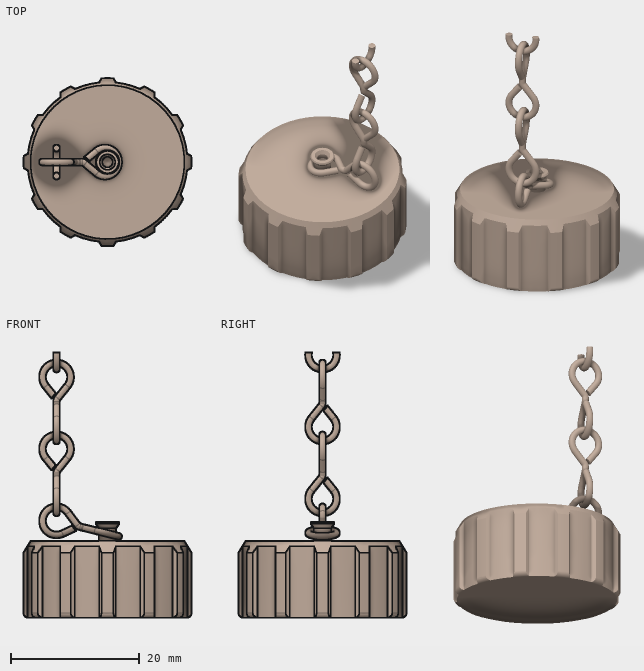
import cadquery as cq
import math

OVERLAP = 0.4

CAP_RADIUS = 13.1
CAP_HEIGHT = 11.98
VALLEY_RADIUS = 12.47
TOP_BEVEL_WIDTH = 1.1
TOP_BEVEL_HEIGHT = 1.85
BOTTOM_ROUND = 0.75
RIB_COUNT = 12
RIB_TIP_HALF_WIDTH = 0.9
RIB_ROOT_HALF_WIDTH = 1.3

RIVET_TOP = 14.95
POST_RADIUS = 1.35
HEAD_RADIUS = 1.85
HEAD_TOP_RADIUS = 1.75
HEAD_TOP_TAPER = 0.2
HEAD_RIM = 0.12
HEAD_FLARE = 0.65
RIVET_MOUTH_RADIUS = 1.2
RIVET_BORE_RADIUS = 0.83
RIVET_MOUTH_DEPTH = 0.55
RIVET_BORE_LENGTH = 0.83
RIVET_TIP_LENGTH = 0.5

WIRE_RADIUS = 0.55
EYE_RADIUS = 2.2
EYE_OFFSET = 3.9
NECK_HALF_LENGTH = 0.145
NECK_BEND_RADIUS = 0.75
TAIL_GAP = 0.15
EYE_OVERLAP = 3.43
CHAIN_X = -7.95
CHAIN_TOP = 41.3
BASE_EYE_Z = 15.07
BASE_LINK_SLOPE = 14.0
HANGING_LINKS = 3

LINK_PITCH = 2 * EYE_OFFSET + EYE_OVERLAP


def make_cap():
    """Ribbed disc trimmed by a turned envelope with a bevel and a round."""
    ribbed = cq.Workplane("XY").circle(VALLEY_RADIUS).extrude(CAP_HEIGHT)
    rib_root = VALLEY_RADIUS - OVERLAP
    rib = (
        cq.Workplane("XY")
        .moveTo(rib_root, -RIB_ROOT_HALF_WIDTH)
        .lineTo(VALLEY_RADIUS, -RIB_ROOT_HALF_WIDTH)
        .lineTo(CAP_RADIUS, -RIB_TIP_HALF_WIDTH)
        .lineTo(CAP_RADIUS, RIB_TIP_HALF_WIDTH)
        .lineTo(VALLEY_RADIUS, RIB_ROOT_HALF_WIDTH)
        .lineTo(rib_root, RIB_ROOT_HALF_WIDTH)
        .close()
        .extrude(CAP_HEIGHT)
    )
    for index in range(RIB_COUNT):
        ribbed = ribbed.union(rib.rotate((0, 0, 0), (0, 0, 1), index * 360 / RIB_COUNT))
    envelope = (
        cq.Workplane("XZ")
        .lineTo(CAP_RADIUS - BOTTOM_ROUND, 0)
        .radiusArc((CAP_RADIUS, BOTTOM_ROUND), -BOTTOM_ROUND)
        .lineTo(CAP_RADIUS, CAP_HEIGHT - TOP_BEVEL_HEIGHT)
        .lineTo(CAP_RADIUS - TOP_BEVEL_WIDTH, CAP_HEIGHT)
        .lineTo(0, CAP_HEIGHT)
        .close()
        .revolve(360, (0, 0), (0, 1))
    )
    return ribbed.intersect(envelope)


def make_rivet():
    """Turned post with a flared head and a blind hole: tapered mouth, bore and conical bottom."""
    rim_top = RIVET_TOP - HEAD_TOP_TAPER
    rim_bottom = rim_top - HEAD_RIM
    bore_top = RIVET_TOP - RIVET_MOUTH_DEPTH
    bore_bottom = bore_top - RIVET_BORE_LENGTH
    post_foot = CAP_HEIGHT - OVERLAP
    return (
        cq.Workplane("XZ")
        .moveTo(0, post_foot)
        .lineTo(POST_RADIUS, post_foot)
        .lineTo(POST_RADIUS, rim_bottom - HEAD_FLARE)
        .lineTo(HEAD_RADIUS, rim_bottom)
        .lineTo(HEAD_RADIUS, rim_top)
        .lineTo(HEAD_TOP_RADIUS, RIVET_TOP)
        .lineTo(RIVET_MOUTH_RADIUS, RIVET_TOP)
        .lineTo(RIVET_BORE_RADIUS, bore_top)
        .lineTo(RIVET_BORE_RADIUS, bore_bottom)
        .lineTo(0, bore_bottom - RIVET_TIP_LENGTH)
        .close()
        .revolve(360, (0, 0), (0, 1))
    )


def make_half_link():
    """Half a link in the XZ plane: from the top of the neck, with the leg on +X."""
    rise = EYE_OFFSET - NECK_HALF_LENGTH
    centre_distance = math.hypot(NECK_BEND_RADIUS, rise)
    tangent_angle = math.asin((EYE_RADIUS + NECK_BEND_RADIUS) / centre_distance)
    lean = tangent_angle - math.atan2(NECK_BEND_RADIUS, rise)
    bend_end = (
        NECK_BEND_RADIUS * (1 - math.cos(lean)),
        NECK_HALF_LENGTH + NECK_BEND_RADIUS * math.sin(lean),
    )
    eye_x = EYE_RADIUS * math.cos(lean)
    eye_z = EYE_OFFSET - EYE_RADIUS * math.sin(lean)

    path = (
        cq.Workplane("XZ")
        .moveTo(0, NECK_HALF_LENGTH)
        .radiusArc(bend_end, NECK_BEND_RADIUS)
        .lineTo(eye_x, eye_z)
        .threePointArc((0, EYE_OFFSET + EYE_RADIUS), (-eye_x, eye_z))
    )
    wire = cq.Workplane("XY").workplane(offset=NECK_HALF_LENGTH).circle(WIRE_RADIUS).sweep(path)

    tail_length = math.hypot(eye_x, eye_z)
    tail_direction = cq.Vector(math.sin(lean), 0, -math.cos(lean))
    tail_start = cq.Vector(-eye_x, 0, eye_z)
    tail = cq.Workplane(cq.Solid.makeCylinder(WIRE_RADIUS, tail_length, tail_start, tail_direction))
    block_size = 4 * EYE_OFFSET
    clearance = (
        cq.Workplane("XY")
        .box(block_size, block_size, block_size)
        .translate((block_size / 2 - WIRE_RADIUS - TAIL_GAP, 0, 0))
        .rotate((0, 0, 0), (0, 1, 0), math.degrees(lean))
        .translate((bend_end[0], 0, bend_end[1]))
    )
    return wire.union(tail.cut(clearance))


def make_link():
    """Upright link with its neck at the origin; the lower eye is turned a quarter."""
    upper = make_half_link()
    lower = upper.rotate((0, 0, 0), (1, 0, 0), 180).rotate((0, 0, 0), (0, 0, 1), -90)
    neck = cq.Workplane("XY").circle(WIRE_RADIUS).extrude(NECK_HALF_LENGTH, both=True)
    return neck.union(upper).union(lower)


def make_chain():
    """Sloping link around the rivet and the links hanging straight above it."""
    link = make_link()
    slope = math.radians(BASE_LINK_SLOPE)
    base_neck_x = CHAIN_X + EYE_OFFSET * math.cos(slope)
    base_neck_z = BASE_EYE_Z - EYE_OFFSET * math.sin(slope)
    chain = (
        link.rotate((0, 0, 0), (0, 1, 0), BASE_LINK_SLOPE - 90)
        .translate((base_neck_x, 0, base_neck_z))
    )
    first_neck_z = BASE_EYE_Z + EYE_OVERLAP + EYE_OFFSET
    for index in range(HANGING_LINKS):
        chain = chain.union(link.translate((CHAIN_X, 0, first_neck_z + index * LINK_PITCH)))
    above_chain = (
        cq.Workplane("XY")
        .box(LINK_PITCH, LINK_PITCH, LINK_PITCH, centered=(True, True, False))
        .translate((CHAIN_X, 0, CHAIN_TOP))
    )
    return chain.cut(above_chain)


result = make_cap().union(make_rivet()).union(make_chain())